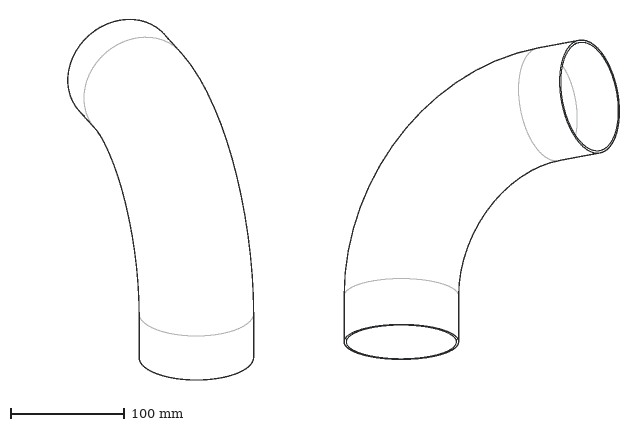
import cadquery as cq

overall_size = 245.8
outer_diameter = 101.5
inner_diameter = 97.3
straight_length = 42.5
bend_angle = 90

bend_radius = overall_size - straight_length - outer_diameter / 2


def elbow_rod(diameter):
    """Solid round elbow: straight end along X, quarter bend, straight end along Z."""
    inlet = (
        cq.Workplane("YZ", origin=(-straight_length, 0, bend_radius))
        .circle(diameter / 2)
        .extrude(straight_length)
    )
    bend = (
        cq.Workplane("XY", origin=(bend_radius, 0, 0))
        .circle(diameter / 2)
        .revolve(bend_angle, (-bend_radius, 2.5, 0), (-bend_radius, 0, 0))
    )
    outlet = (
        cq.Workplane("XY", origin=(bend_radius, 0, -straight_length))
        .circle(diameter / 2)
        .extrude(straight_length)
    )
    return inlet.union(bend).union(outlet)


result = elbow_rod(outer_diameter).cut(elbow_rod(inner_diameter))